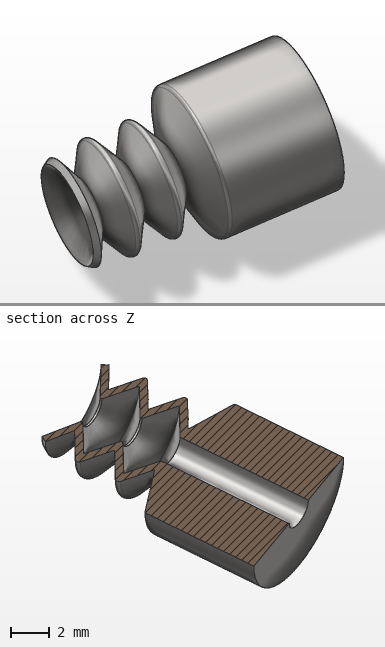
import cadquery as cq


total_length = 14.0

barrel_radius = 4.35
barrel_shoulder_y = 7.27

fold_pitch = 2.46
fold_count = 2
half_pitch = fold_pitch / 2
neck_radius = 1.65
ridge_radius = 3.5
edge_round = 0.2

lip_end_radius = 2.87
lip_outer_radius = 3.1
lip_rim_width = 0.36

throat_radius = 0.92
throat_length = 0.13

selection_margin = 0.01

neck_positions = [half_pitch + i * fold_pitch for i in range(fold_count + 1)]
ridge_positions = [y + half_pitch for y in neck_positions[:-1]]

fold_slope = (ridge_radius - neck_radius) / half_pitch
inner_ridge_radius = throat_radius + fold_slope * (half_pitch - throat_length / 2)


def outer_body():
    """Solid outer shape: lip, folds, shoulder cone and barrel."""
    points = [(0, 0), (lip_end_radius, 0), (lip_outer_radius, lip_rim_width)]
    for neck_y, ridge_y in zip(neck_positions, ridge_positions):
        points.append((neck_radius, neck_y))
        points.append((ridge_radius, ridge_y))
    points.append((neck_radius, neck_positions[-1]))
    points.append((barrel_radius, barrel_shoulder_y))
    points.append((barrel_radius, total_length))
    points.append((0, total_length))
    return revolve_about_y(points)


def inner_cavity():
    """Flared mouth, folded passage behind it and straight bore through the barrel."""
    half_throat = throat_length / 2
    points = [(0, 0), (lip_end_radius, 0)]
    for neck_y, ridge_y in zip(neck_positions, ridge_positions):
        points.append((throat_radius, neck_y - half_throat))
        points.append((throat_radius, neck_y + half_throat))
        points.append((inner_ridge_radius, ridge_y))
    points.append((throat_radius, neck_positions[-1] - half_throat))
    points.append((throat_radius, total_length))
    points.append((0, total_length))
    return revolve_about_y(points)


def revolve_about_y(points):
    """Revolve a closed (radius, Y) outline a full turn about the Y axis."""
    return cq.Workplane("XY").polyline(points).close().revolve(360, (0, 0, 0), (0, 1, 0))


def round_circle_at(body, y, radius):
    """Round the circular edge of the given radius that lies in the plane at y."""
    edge_zone = cq.selectors.BoxSelector(
        (-radius - selection_margin, y - selection_margin, -radius - selection_margin),
        (radius + selection_margin, y + selection_margin, radius + selection_margin),
        boundingbox=True,
    )
    return body.edges(edge_zone).fillet(edge_round)


body = outer_body()
for ridge_y in ridge_positions:
    body = round_circle_at(body, ridge_y, ridge_radius)
body = round_circle_at(body, barrel_shoulder_y, barrel_radius)

result = body.cut(inner_cavity())